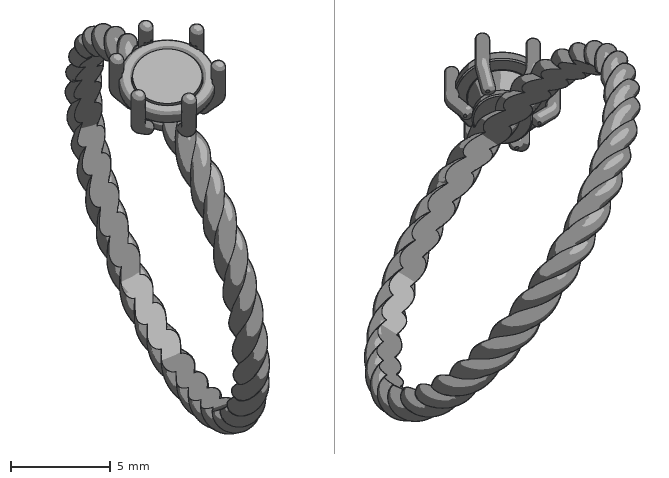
import cadquery as cq
import math


BORE_DIAMETER = 19.0
ROPE_CENTRE_RADIUS = 10.02
STRAND_COUNT = 3
STRAND_DIAMETER = 1.1
STRAND_RADIUS = STRAND_DIAMETER / 2
STRAND_OFFSET = 0.37
TWIST_TURNS = 12
CREST_ANGLE = 7.5
SEAM_ANGLE = 180.0
SPINE_POINTS_PER_TURN = 8

PRONG_TOP = 13.75
BEZEL_TOP = 12.46
BEZEL_BOTTOM = 11.7
BASE_TOP = 10.46
BASE_BOTTOM = 9.85

PRONG_COUNT = 6
PRONG_DIAMETER = 0.75
PRONG_CIRCLE_DIAMETER = 5.15
PRONG_CIRCLE_RADIUS = PRONG_CIRCLE_DIAMETER / 2
PRONG_END_FILLET = 0.25
PRONG_BEND_TOP = 11.33
PRONG_BEND_RADIUS = 0.65
PRONG_LEAN = 40.0
PRONG_LEG_LENGTH = 1.23

SEAT_RADIUS = 2.3
SEAT_TOP = 12.69
SEAT_BOTTOM = 11.62

BEZEL_RADIUS = 2.45
BEZEL_HOLE_DIAMETER = 3.6
BEZEL_OUTER_FILLET = 0.22
BEZEL_INNER_FILLET = 0.17
BEZEL_BOTTOM_CHAMFER = 0.07

BASE_RADIUS = 1.53
BASE_FILLET = 0.3
BASE_BOTTOM_CHAMFER = 0.07

STONE_DIAMETER = 3.5
STONE_FOOT_RADIUS = 1.15


def rope_point(angle, radial, side):
    """Point at an angle (degrees) around the shank, offset from the rope centre line."""
    distance = ROPE_CENTRE_RADIUS + radial
    turn = math.radians(angle)
    return cq.Vector(distance * math.cos(turn), side, distance * math.sin(turn))


def strand_centre(angle):
    """Centre of the first strand at an angle (degrees) around the shank."""
    phase = math.radians(TWIST_TURNS * (angle - CREST_ANGLE))
    return rope_point(angle, STRAND_OFFSET * math.cos(phase), STRAND_OFFSET * math.sin(phase))


def rope_section(angle):
    """Outline of the merged strands: one arc per strand, meeting in creases."""
    crease_half = math.pi / STRAND_COUNT
    reach = STRAND_OFFSET * math.cos(crease_half)
    crease_radius = reach + math.sqrt(STRAND_RADIUS**2 - (STRAND_OFFSET * math.sin(crease_half)) ** 2)
    crest_radius = STRAND_OFFSET + STRAND_RADIUS
    start = math.radians(TWIST_TURNS * (angle - CREST_ANGLE))

    def outline_point(radius, phase):
        return rope_point(angle, radius * math.cos(phase), radius * math.sin(phase))

    arcs = []
    for strand in range(STRAND_COUNT):
        crest = start + 2 * crease_half * strand
        arcs.append(
            cq.Edge.makeThreePointArc(
                outline_point(crease_radius, crest - crease_half),
                outline_point(crest_radius, crest),
                outline_point(crease_radius, crest + crease_half),
            )
        )
    return cq.Wire.assembleEdges(arcs)


def make_rope():
    """Closed twisted rope, starting and ending at the seam."""
    point_count = TWIST_TURNS * SPINE_POINTS_PER_TURN
    angles = [SEAM_ANGLE + 360.0 * index / point_count for index in range(point_count)]
    twist = cq.Edge.makeSpline([strand_centre(angle) for angle in angles], periodic=True)

    spine_start = SEAM_ANGLE + 90
    spine = cq.Edge.makeCircle(
        ROPE_CENTRE_RADIUS,
        cq.Vector(0, 0, 0),
        cq.Vector(0, -1, 0),
        spine_start,
        spine_start + 360,
    )
    return cq.Solid.sweep(
        rope_section(SEAM_ANGLE),
        [],
        cq.Wire.assembleEdges([spine]),
        mode=cq.Wire.assembleEdges([twist]),
    )


def make_bore():
    """Cylinder of the finger hole, along Y and twice as long as the rope is wide."""
    rope_width = 2 * (STRAND_OFFSET + STRAND_RADIUS)
    length = 2 * rope_width
    return cq.Workplane("XZ", origin=(0, length / 2, 0)).circle(BORE_DIAMETER / 2).extrude(length)


def make_prong(angle):
    """Upright round prong whose leg leans inward below a bend."""
    lean = math.radians(PRONG_LEAN)

    def bend_point(turned):
        return (
            PRONG_CIRCLE_RADIUS - PRONG_BEND_RADIUS * (1 - math.cos(turned)),
            PRONG_BEND_TOP - PRONG_BEND_RADIUS * math.sin(turned),
        )

    bend_end = bend_point(lean)
    leg_end = (
        bend_end[0] - PRONG_LEG_LENGTH * math.sin(lean),
        bend_end[1] - PRONG_LEG_LENGTH * math.cos(lean),
    )
    path = (
        cq.Workplane("XZ")
        .moveTo(PRONG_CIRCLE_RADIUS, PRONG_TOP)
        .lineTo(PRONG_CIRCLE_RADIUS, PRONG_BEND_TOP)
        .threePointArc(bend_point(lean / 2), bend_end)
        .lineTo(*leg_end)
    )
    prong = (
        cq.Workplane("XY", origin=(PRONG_CIRCLE_RADIUS, 0, PRONG_TOP))
        .circle(PRONG_DIAMETER / 2)
        .sweep(path)
        .faces("%PLANE")
        .edges()
        .fillet(PRONG_END_FILLET)
    )
    return prong.rotate((0, 0, 0), (0, 0, 1), angle)


def make_prongs():
    """All prongs, trimmed flat at the bottom and notched by the round seat."""
    prongs = make_prong(0)
    for index in range(1, PRONG_COUNT):
        prongs = prongs.union(make_prong(360 * index / PRONG_COUNT))
    below_base = (
        cq.Workplane("XY", origin=(0, 0, BASE_BOTTOM))
        .circle(PRONG_CIRCLE_RADIUS + PRONG_DIAMETER)
        .extrude(-PRONG_LEG_LENGTH)
    )
    seat = (
        cq.Workplane("XY", origin=(0, 0, SEAT_BOTTOM))
        .circle(SEAT_RADIUS)
        .extrude(SEAT_TOP - SEAT_BOTTOM)
    )
    return prongs.cut(below_base).cut(seat)


def make_bezel():
    """Rounded ring around the stone, with a small gap to it."""
    return (
        cq.Workplane("XY", origin=(0, 0, BEZEL_BOTTOM))
        .circle(BEZEL_RADIUS)
        .extrude(BEZEL_TOP - BEZEL_BOTTOM)
        .faces(">Z").edges().fillet(BEZEL_OUTER_FILLET)
        .faces("<Z").edges().chamfer(BEZEL_BOTTOM_CHAMFER)
        .faces(">Z").workplane().hole(BEZEL_HOLE_DIAMETER)
        .faces(">Z").edges(cq.selectors.RadiusNthSelector(0)).fillet(BEZEL_INNER_FILLET)
    )


def make_base():
    """Rounded disc that joins the prong legs and carries the stone."""
    return (
        cq.Workplane("XY", origin=(0, 0, BASE_BOTTOM))
        .circle(BASE_RADIUS)
        .extrude(BASE_TOP - BASE_BOTTOM)
        .faces(">Z").edges().fillet(BASE_FILLET)
        .faces("<Z").edges().chamfer(BASE_BOTTOM_CHAMFER)
    )


def make_stone():
    """Flat-topped stone that tapers below the bezel and stands on the base disc."""
    return (
        cq.Workplane("XZ")
        .moveTo(0, BASE_TOP)
        .lineTo(STONE_FOOT_RADIUS, BASE_TOP)
        .lineTo(STONE_DIAMETER / 2, BEZEL_BOTTOM)
        .lineTo(STONE_DIAMETER / 2, BEZEL_TOP)
        .lineTo(0, BEZEL_TOP)
        .close()
        .revolve(360, (0, 0, 0), (0, 1, 0))
    )


def make_ring(stone):
    """Rope shank fused with the head; the finger hole and the bed of the stone are cut from the rope."""
    shank = make_rope().cut(make_bore().val(), stone)
    head = make_base().union(make_prongs()).union(make_bezel())
    return shank.fuse(head.val())


stone = make_stone().val()
ring = make_ring(stone)

result = cq.Compound.makeCompound([*ring.Solids(), stone])